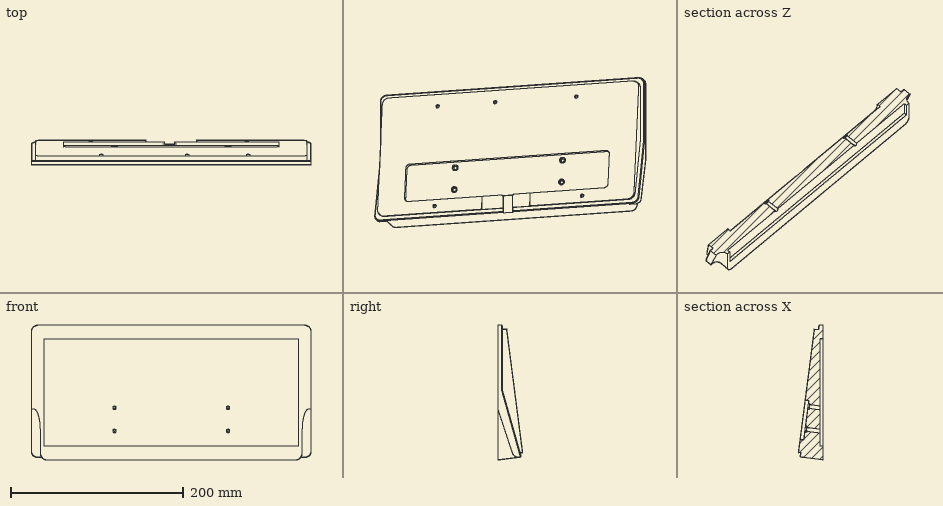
import cadquery as cq
import math

WIDTH = 325.0
HEIGHT = 157.0
DEPTH = 29.0
MID_X = WIDTH / 2
CORNER_RADIUS = 7.8

BEZEL_THICKNESS = 5.2
BEZEL_BEND_Z = 82.0
BEZEL_BOTTOM_DEPTH = 27.3
BEZEL_BACK_CHAMFER = 1.0

HOUSING_MARGIN = 5.0
HOUSING_BOTTOM_Z = 8.5
HOUSING_TOP_Z = HEIGHT - HOUSING_MARGIN
HOUSING_TOP_DEPTH = 10.5
HOUSING_HEIGHT = HOUSING_TOP_Z - HOUSING_BOTTOM_Z
BACK_SLOPE = (DEPTH - HOUSING_TOP_DEPTH) / HOUSING_HEIGHT
BACK_TILT = math.atan(BACK_SLOPE)
BEZEL_BOTTOM_RISE = BEZEL_BOTTOM_DEPTH * BACK_SLOPE

SCOOP_WIDTH = 10.5
SCOOP_TOP_Z = 59.5
SCOOP_SLOPE = 0.33
SCOOP_OVERRUN = 9.8

RECESS_SIDE_MARGIN = 15.0
RECESS_BOTTOM_Z = 16.5
RECESS_TOP_Z = 140.7
RECESS_DEPTH = 3.5

POCKET_WIDTH = 250.2
POCKET_BOTTOM_Z = 24.0
POCKET_TOP_Z = 69.5
POCKET_DEPTH = 4.2
POCKET_RADIUS = 5.0
EXIT_LEFT_X = 154.7
EXIT_WIDTH = 11.7
EXIT_FLOOR_Y = 24.5
EXIT_MOUTH_RADIUS = 2.0
NOTCH_WIDTH = 59.0
NOTCH_FLOOR_Y = 27.0

MOUNT_SPACING_X = 132.0
MOUNT_ROWS_Z = (33.0, 60.0)
MOUNT_DIAMETER = 4.0
MOUNT_BORE_DIAMETER = 6.8
MOUNT_BORE_DEPTH = 1.5

PIN_PLACES = ((69.0, 16.2), (250.2, 16.2), (81.2, 137.8), (181.0, 137.8), (252.0, 137.8))
PIN_DIAMETER = 4.0
PIN_DEPTH = 3.2


def box(x0, x1, y0, y1, z0, z1):
    """Block between two opposite corners."""
    return cq.Workplane("XY").box(x1 - x0, y1 - y0, z1 - z0, centered=False).translate((x0, y0, z0))


def side_prism(points, x0, length):
    """Extrude a (Y, Z) outline along X."""
    return cq.Workplane("YZ", origin=(x0, 0, 0)).polyline(points).close().extrude(length)


def back_y(z):
    """Y of the leaning back face at a height."""
    return DEPTH - (z - HOUSING_BOTTOM_Z) * BACK_SLOPE


def back_workplane(x, z):
    """Workplane on the back face, its normal pointing out of the part and its local Y up the slope."""
    normal = (0, math.cos(BACK_TILT), math.sin(BACK_TILT))
    return cq.Workplane(cq.Plane(origin=(x, back_y(z), z), xDir=(-1, 0, 0), normal=normal))


def nearest(point):
    """Selector for the edge whose centre is nearest to a point."""
    return cq.selectors.NearestToPointSelector(point)


def make_scoop():
    """Cutter for the lower left corner: a sloping floor meeting an upright wall."""
    floor_top = (-SCOOP_OVERRUN, SCOOP_TOP_Z + SCOOP_OVERRUN / SCOOP_SLOPE)
    floor_bottom = ((SCOOP_TOP_Z + SCOOP_OVERRUN) * SCOOP_SLOPE, -SCOOP_OVERRUN)
    corner = (-SCOOP_OVERRUN, -SCOOP_OVERRUN)
    return side_prism([floor_top, floor_bottom, corner], -SCOOP_OVERRUN, SCOOP_OVERRUN + SCOOP_WIDTH)


def make_bezel():
    """Front shell with rounded corners and a scoop at each lower corner."""
    profile = [
        (0, 0),
        (0, HEIGHT),
        (BEZEL_THICKNESS, HEIGHT),
        (BEZEL_THICKNESS, BEZEL_BEND_Z),
        (BEZEL_BOTTOM_DEPTH, BEZEL_BOTTOM_RISE),
    ]
    bezel = side_prism(profile, 0, WIDTH)
    bezel = bezel.edges("|Y").edges(">Z").fillet(CORNER_RADIUS)
    scoop = make_scoop()
    bezel = bezel.cut(scoop).cut(scoop.mirror("YZ", (MID_X, 0, 0)))

    bezel = bezel.faces("<Z").edges("not(<Y or >Y)").fillet(CORNER_RADIUS)

    for wall_x in (SCOOP_WIDTH, WIDTH - SCOOP_WIDTH):
        floor_middle = (wall_x, SCOOP_TOP_Z / 2 * SCOOP_SLOPE, SCOOP_TOP_Z / 2)
        bezel = bezel.edges(nearest(floor_middle)).fillet(CORNER_RADIUS)

    top_edge = nearest((MID_X, BEZEL_THICKNESS, HEIGHT))
    bottom_edge = nearest((MID_X, BEZEL_BOTTOM_DEPTH, BEZEL_BOTTOM_RISE))
    return bezel.edges(top_edge + bottom_edge).chamfer(BEZEL_BACK_CHAMFER)


def make_housing():
    """Rounded block between the back of the bezel and the leaning back face."""
    block = box(HOUSING_MARGIN, WIDTH - HOUSING_MARGIN, 0, DEPTH, HOUSING_BOTTOM_Z, HOUSING_TOP_Z)
    block = block.edges("|Y").fillet(CORNER_RADIUS)
    profile = [
        (BEZEL_THICKNESS, HOUSING_TOP_Z),
        (BEZEL_THICKNESS, BEZEL_BEND_Z),
        (BEZEL_BOTTOM_DEPTH, BEZEL_BOTTOM_RISE),
        (DEPTH, HOUSING_BOTTOM_Z),
        (HOUSING_TOP_DEPTH, HOUSING_TOP_Z),
    ]
    return block.intersect(side_prism(profile, 0, WIDTH))


def make_recess():
    """Cutter for the display recess in the front face."""
    right_x = WIDTH - RECESS_SIDE_MARGIN
    return box(RECESS_SIDE_MARGIN, right_x, 0, RECESS_DEPTH, RECESS_BOTTOM_Z, RECESS_TOP_Z)


def make_pocket():
    """Cutter for the mounting pocket, sunk square to the back face."""
    middle_z = (POCKET_BOTTOM_Z + POCKET_TOP_Z) / 2
    length = (POCKET_TOP_Z - POCKET_BOTTOM_Z) / math.cos(BACK_TILT)
    outline = cq.Sketch().rect(POCKET_WIDTH, length).vertices().fillet(POCKET_RADIUS)
    return back_workplane(MID_X, middle_z).placeSketch(outline).extrude(-POCKET_DEPTH)


def cut_cable_exit(body):
    """Open the pocket downwards: a wide shallow notch with a narrow slot inside it."""
    notch_left_x = MID_X - NOTCH_WIDTH / 2
    notch = box(notch_left_x, notch_left_x + NOTCH_WIDTH, NOTCH_FLOOR_Y, DEPTH, 0, POCKET_BOTTOM_Z)
    exit_right_x = EXIT_LEFT_X + EXIT_WIDTH
    slot_top_z = POCKET_BOTTOM_Z + POCKET_DEPTH
    slot = box(EXIT_LEFT_X, exit_right_x, EXIT_FLOOR_Y, DEPTH, 0, slot_top_z)
    body = body.cut(notch).cut(slot)

    for side_x in (EXIT_LEFT_X, exit_right_x):
        mouth = (side_x, (EXIT_FLOOR_Y + NOTCH_FLOOR_Y) / 2, POCKET_BOTTOM_Z)
        body = body.edges(nearest(mouth)).fillet(EXIT_MOUTH_RADIUS)
    return body


def make_mount_hole(x, z):
    """Cutter for a through hole square to the back face, counterbored from the pocket floor."""
    z_at_back = z + back_y(z) * BACK_SLOPE
    workplane = back_workplane(x, z_at_back)
    hole = workplane.circle(MOUNT_DIAMETER / 2).extrude(-DEPTH)
    bore = workplane.circle(MOUNT_BORE_DIAMETER / 2).extrude(-POCKET_DEPTH - MOUNT_BORE_DEPTH)
    return hole.union(bore)


def make_pin_hole(x, z):
    """Cutter for a small blind hole in the back face."""
    return back_workplane(x, z).circle(PIN_DIAMETER / 2).extrude(-PIN_DEPTH)


result = make_bezel().union(make_housing()).cut(make_recess()).cut(make_pocket())
result = cut_cable_exit(result)
for mount_x in (MID_X - MOUNT_SPACING_X / 2, MID_X + MOUNT_SPACING_X / 2):
    for mount_z in MOUNT_ROWS_Z:
        result = result.cut(make_mount_hole(mount_x, mount_z))
for pin_x, pin_z in PIN_PLACES:
    result = result.cut(make_pin_hole(pin_x, pin_z))